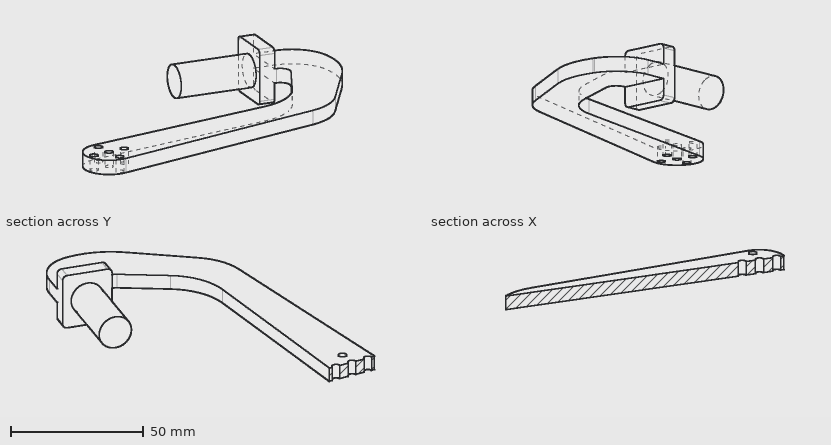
import cadquery as cq
import math

plate_thickness = 5.7
end_radius = 10.0
top_y = 133.0

hole_diameter = 3.1
hole_pitch = 7.0

tilt = 10.8
mount_x = -53.8
mount_y = 109.4
flange_width = 19.9
flange_height = 22.0
flange_thickness = 6.1
flange_corner_radius = 1.9
pin_diameter = 13.0
pin_length = 31.0

shoulder_x = -34.0
outer_elbow = (3.7, 100.8)
inner_elbow_y = 92.1
inner_slope = 33.8
head_radius = 16.0
shoulder_radius = 31.5
outer_elbow_radius = 22.9
inner_elbow_radius = 24.3
throat_radius = 4.0

axis = (math.sin(math.radians(tilt)), math.cos(math.radians(tilt)))
across = (axis[1], -axis[0])


def mount_point(sideways):
    """Point on the flange's inner face, at a distance from the mount axis."""
    return (mount_x + sideways * across[0], mount_y + sideways * across[1])


def end_tangent_point(corner):
    """Point where a line from the corner touches the right of the round end."""
    distance = math.hypot(*corner)
    angle = math.atan2(corner[1], corner[0]) - math.acos(end_radius / distance)
    return (end_radius * math.cos(angle), end_radius * math.sin(angle))


def make_arm():
    left_foot = mount_point(-flange_width / 2)
    right_foot = mount_point(flange_width / 2)
    side_slope = math.tan(math.radians(tilt))
    head = (left_foot[0] + (top_y - left_foot[1]) * side_slope, top_y)
    shoulder = (shoulder_x, top_y)
    inner_elbow = (-end_radius, inner_elbow_y)

    fall = math.tan(math.radians(inner_slope))
    edge_y_above_foot = inner_elbow_y + (inner_elbow[0] - right_foot[0]) * fall
    throat_rise = (edge_y_above_foot - right_foot[1]) / (1 + side_slope * fall)
    throat = (right_foot[0] + throat_rise * side_slope, right_foot[1] + throat_rise)

    arm = (
        cq.Workplane("XY", origin=(0, 0, -plate_thickness / 2))
        .moveTo(*left_foot)
        .lineTo(*head)
        .lineTo(*shoulder)
        .lineTo(*outer_elbow)
        .lineTo(*end_tangent_point(outer_elbow))
        .threePointArc((0, -end_radius), (-end_radius, 0))
        .lineTo(*inner_elbow)
        .lineTo(*throat)
        .lineTo(*right_foot)
        .close()
        .extrude(plate_thickness)
    )
    rounded_corners = [
        (head, head_radius),
        (shoulder, shoulder_radius),
        (outer_elbow, outer_elbow_radius),
        (inner_elbow, inner_elbow_radius),
        (throat, throat_radius),
    ]
    for corner, radius in rounded_corners:
        corner_edge = cq.selectors.NearestToPointSelector((*corner, 0))
        arm = arm.edges("|Z").edges(corner_edge).fillet(radius)
    return arm


def make_mount():
    mount_plane = cq.Plane(
        origin=(mount_x, mount_y, 0),
        xDir=(*across, 0),
        normal=(-axis[0], -axis[1], 0),
    )
    flange = (
        cq.Workplane(mount_plane)
        .rect(flange_width, flange_height)
        .extrude(flange_thickness)
        .edges(cq.selectors.ParallelDirSelector(mount_plane.zDir))
        .fillet(flange_corner_radius)
    )
    pin = cq.Workplane(mount_plane).circle(pin_diameter / 2).extrude(flange_thickness + pin_length)
    return flange.union(pin)


def make_holes():
    centres = [(0, 0), (hole_pitch, 0), (-hole_pitch, 0), (0, hole_pitch), (0, -hole_pitch)]
    return (
        cq.Workplane("XY", origin=(0, 0, -plate_thickness / 2))
        .pushPoints(centres)
        .circle(hole_diameter / 2)
        .extrude(plate_thickness)
    )


result = make_arm().union(make_mount()).cut(make_holes())